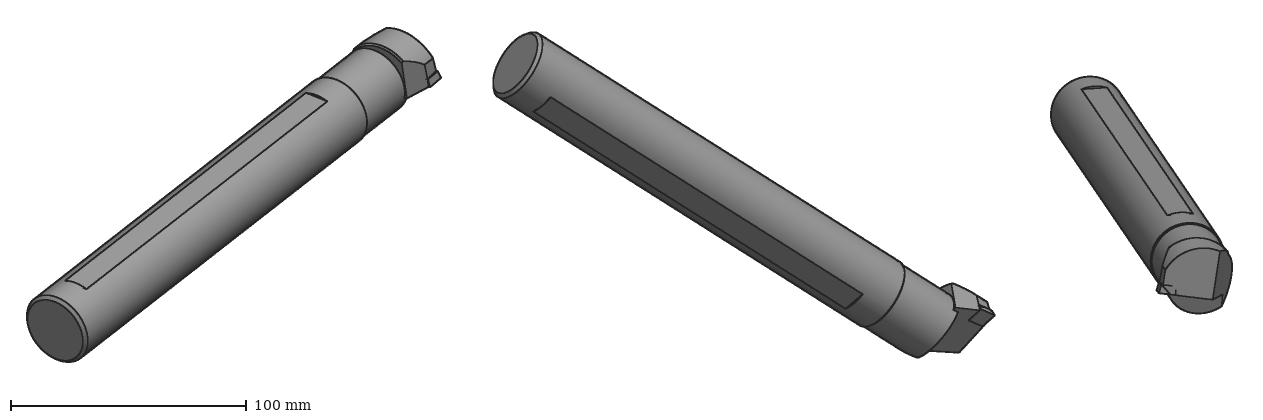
import cadquery as cq
import math


shank_diameter = 32.0
shank_length = 205.0
back_chamfer = 1.5
front_chamfer = 0.5
flat_to_flat = 30.0
flat_start = 15.0
flat_length = 175.0

total_length = 250.0
neck_diameter = 31.0
head_radius = 18.7
head_offset_x = 3.2
shoulder_y = 232.5
shoulder_chamfer = 0.7
front_setback = 0.5
front_relief = 0.11
slant_x = -1.7
slant_per_y = 0.51
slant_per_z = 0.12
side_x = 20.7
side_relief = 0.18
diagonal_x = 16.2
diagonal_per_y = 0.44
diagonal_per_z = 0.16

tip = cq.Vector(22.0, total_length, 0.62)
rake_per_x = 0.19
rake_per_y = 0.12
pocket_wall_y = 235.5
pocket_wall_lean = 0.19

insert_edge = 7.5
insert_angle = 80.0
insert_lead = 5.0
insert_thickness = 3.7
insert_clearance = 7.0

cutter_size = 4 * total_length
blank_length = total_length + 2.5


def half_space(point, normal):
    """Large block that fills the side of a plane its normal points to."""
    plane = cq.Plane(origin=point, normal=normal)
    return cq.Workplane(plane).rect(cutter_size, cutter_size).extrude(cutter_size)


def cylinder_y(radius, start, end, center_x=0.0):
    plane = cq.Plane(origin=(center_x, start, 0), xDir=(1, 0, 0), normal=(0, 1, 0))
    return cq.Workplane(plane).circle(radius).extrude(end - start)


def make_shank():
    shank = cylinder_y(shank_diameter / 2, 0, shank_length)
    shank = shank.faces("<Y").chamfer(back_chamfer)
    shank = shank.faces(">Y").chamfer(front_chamfer)
    flat_center_y = flat_start + flat_length / 2
    for side in (-1, 1):
        flat_cutter = cq.Workplane("XY").box(shank_diameter, flat_length, shank_diameter)
        flat_center_z = side * (flat_to_flat + shank_diameter) / 2
        shank = shank.cut(flat_cutter.translate((0, flat_center_y, flat_center_z)))
    return shank


def space_below_rake():
    return half_space(tip, (rake_per_x, rake_per_y, -1))


def make_head():
    head = cylinder_y(head_radius, shoulder_y, blank_length, head_offset_x)
    head = head.faces("<Y").chamfer(shoulder_chamfer)
    head = head.cut(space_below_rake())
    head = head.cut(half_space((side_x, 0, 0), (1, 0, side_relief)))
    return head.cut(half_space((diagonal_x, shoulder_y, 0), (1, -diagonal_per_y, diagonal_per_z)))


def make_rake_notch():
    ahead_of_wall = half_space((0, pocket_wall_y, 0), (0, 1, -pocket_wall_lean))
    return space_below_rake().intersect(ahead_of_wall)


def rhombus(plane, edge, corner):
    """Closed wire in the plane's coordinates, starting from its cutting corner."""
    front_turn = math.radians(180 + insert_lead)
    side_turn = front_turn + math.radians(insert_angle)
    front = cq.Vector(edge * math.cos(front_turn), edge * math.sin(front_turn), 0)
    side = cq.Vector(edge * math.cos(side_turn), edge * math.sin(side_turn), 0)
    corners = [corner, corner + front, corner + front + side, corner + side]
    return cq.Wire.makePolygon([plane.toWorldCoords(point) for point in corners], close=True)


def make_insert():
    """Rhombus on the rake face that tapers upward from its cutting edges."""
    rake_plane = cq.Plane(origin=tip, xDir=(1, 0, rake_per_x), normal=(-rake_per_x, -rake_per_y, 1))
    bottom_outline = rhombus(rake_plane, insert_edge, cq.Vector(0, 0, 0))
    inset = insert_thickness * math.tan(math.radians(insert_clearance))
    top_edge = insert_edge - 2 * inset / math.sin(math.radians(insert_angle))
    corner_inset = inset / math.sin(math.radians(insert_angle / 2))
    bisector = math.radians(180 + insert_lead + insert_angle / 2)
    top_corner = cq.Vector(
        corner_inset * math.cos(bisector),
        corner_inset * math.sin(bisector),
        insert_thickness,
    )
    top_outline = rhombus(rake_plane, top_edge, top_corner)
    return cq.Workplane(cq.Solid.makeLoft([bottom_outline, top_outline], True))


def make_holder(insert):
    neck = cylinder_y(neck_diameter / 2, shank_length, blank_length)
    bar_end = neck.union(make_head()).cut(make_rake_notch())
    bar_end = bar_end.cut(half_space((slant_x, total_length, 0), (-1, slant_per_y, -slant_per_z)))
    bar_end = bar_end.cut(half_space((0, total_length - front_setback, 0), (0, 1, front_relief)))
    return make_shank().union(bar_end).cut(insert)


insert = make_insert()
holder = make_holder(insert)
result = cq.Compound.makeCompound([holder.val(), insert.val()])